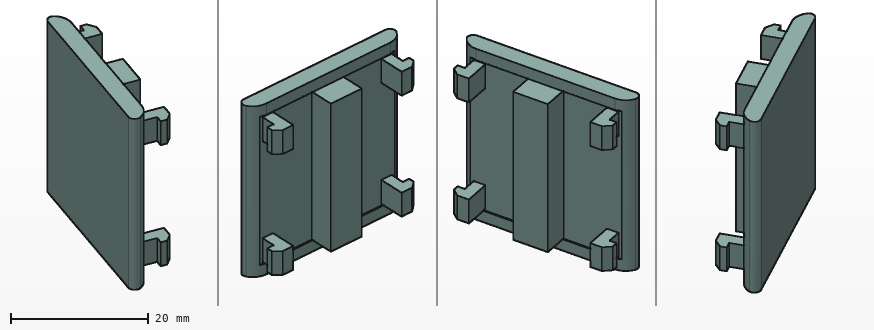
import cadquery as cq
import math

plate_height = 30.0
plate_thickness = 3.0
edge_radius = plate_thickness
edge_fillet = plate_thickness / 3
edge_center_x = 12.0

recess_height = 25.98
recess_depth = 0.2

block_width = 6.0
block_height = recess_height
block_top_y = 7.02

hook_inner_x = 10.5
hook_stem_x = 12.5
hook_tip_x = 13.75
hook_lip_y = 5.22
hook_chamfer_y = 6.25
hook_top_y = 7.25
hook_height = 4.2
hook_end_z = 12.72

root_y = plate_thickness / 2


def extrude_along_z(profile, height):
    """Extrude an XY profile symmetrically about Z = 0."""
    return profile.extrude(height / 2, both=True)


def make_plate():
    center_distance = edge_radius - edge_fillet
    lean = math.asin(edge_fillet / center_distance)
    fillet_center_x = edge_center_x + center_distance * math.cos(lean)
    tangent_x = edge_center_x + edge_radius * math.cos(lean)
    tangent_y = edge_radius * math.sin(lean)
    side_x = fillet_center_x + edge_fillet

    rear_angle = (lean + math.pi / 2) / 2
    rear_mid_x = edge_center_x + edge_radius * math.cos(rear_angle)
    rear_mid_y = edge_radius * math.sin(rear_angle)

    profile = (
        cq.Workplane("XY")
        .moveTo(-fillet_center_x, 0)
        .lineTo(fillet_center_x, 0)
        .threePointArc((side_x, edge_fillet), (tangent_x, tangent_y))
        .threePointArc((rear_mid_x, rear_mid_y), (edge_center_x, plate_thickness))
        .lineTo(-edge_center_x, plate_thickness)
        .threePointArc((-rear_mid_x, rear_mid_y), (-tangent_x, tangent_y))
        .threePointArc((-side_x, edge_fillet), (-fillet_center_x, 0))
        .close()
    )
    plate = extrude_along_z(profile, plate_height)

    recess = cq.Workplane("XY").box(2 * side_x, 2 * recess_depth, recess_height)
    return plate.cut(recess.translate((0, plate_thickness, 0)))


def make_block():
    depth = block_top_y - root_y
    profile = cq.Workplane("XY").center(0, root_y + depth / 2).rect(block_width, depth)
    return extrude_along_z(profile, block_height)


def make_hook(side, center_z):
    """Snap hook with its lip facing +X (side = 1) or -X (side = -1)."""
    outline = [
        (hook_inner_x, root_y),
        (hook_stem_x, root_y),
        (hook_stem_x, hook_lip_y),
        (hook_tip_x, hook_lip_y),
        (hook_tip_x, hook_chamfer_y),
        (hook_stem_x, hook_top_y),
        (hook_inner_x, hook_top_y),
    ]
    profile = cq.Workplane("XY").polyline([(side * x, y) for x, y in outline]).close()
    return extrude_along_z(profile, hook_height).translate((0, 0, center_z))


result = make_plate().union(make_block())

hook_center_z = hook_end_z - hook_height / 2
for side in (-1, 1):
    for end in (-1, 1):
        result = result.union(make_hook(side, end * hook_center_z))